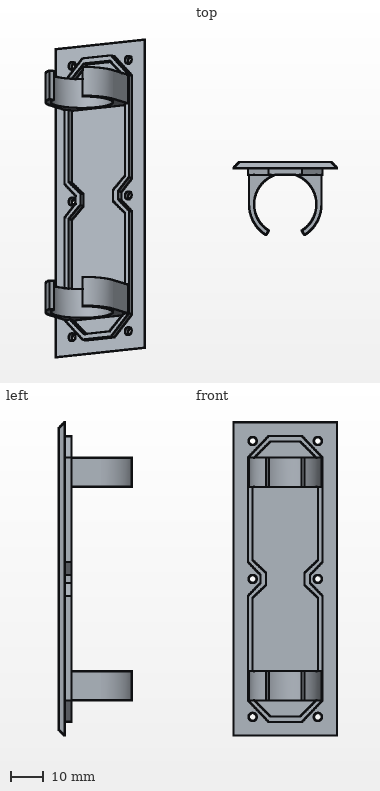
import cadquery as cq
import math

plate_width = 31.6
plate_height = 95.6
plate_thickness = 2.0
plate_edge_land = 0.2
plate_bevel = plate_thickness - plate_edge_land

hole_diameter = 2.4
hole_x = 9.9
hole_z = 42.1

total_depth = 22.4
rim_height = 2.0
rim_outer = dict(end_x=5.1, end_z=43.6, side_x=11.4, shoulder_z=37.0, waist_z=5.2, neck_x=7.6, neck_z=1.2)
rim_inner = dict(end_x=4.5, end_z=42.0, side_x=9.9, shoulder_z=36.5, waist_z=5.7, neck_x=5.8, neck_z=1.8)

clip_height = 8.9
clip_top_z = rim_outer["shoulder_z"]
clip_outer_radius = 11.1
clip_bore_radius = 9.5
clip_half_opening = math.radians(32)
clip_tip_y = plate_thickness - total_depth
clip_axis_y = clip_tip_y + clip_outer_radius * math.cos(clip_half_opening)


def make_plate():
    """Plate with a narrow straight edge, bevelled toward the back face."""
    return (
        cq.Workplane("XY")
        .box(plate_width, plate_thickness, plate_height)
        .translate((0, plate_thickness / 2, 0))
        .faces(">Y")
        .chamfer(plate_bevel)
    )


def rim_prism(end_x, end_z, side_x, shoulder_z, waist_z, neck_x, neck_z):
    """Solid waisted octagon standing on the plate's front face."""
    quarter = [(end_x, end_z), (side_x, shoulder_z), (side_x, waist_z), (neck_x, neck_z)]
    right_side = quarter + [(x, -z) for x, z in reversed(quarter)]
    left_side = [(-x, z) for x, z in reversed(right_side)]
    return cq.Workplane("XZ").polyline(right_side + left_side).close().extrude(rim_height)


def make_clip(bottom_z):
    """Square-backed ring open at the front, with radially cut tips."""
    barrel = cq.Workplane("XY").center(0, clip_axis_y).circle(clip_outer_radius).extrude(clip_height)
    back_depth = -clip_axis_y
    back = (
        cq.Workplane("XY")
        .center(0, clip_axis_y + back_depth / 2)
        .rect(2 * clip_outer_radius, back_depth)
        .extrude(clip_height)
    )
    bore = cq.Workplane("XY").center(0, clip_axis_y).circle(clip_bore_radius).extrude(clip_height)
    wedge_length = 2 * clip_outer_radius
    wedge_half_width = wedge_length * math.tan(clip_half_opening)
    opening = (
        cq.Workplane("XY")
        .center(0, clip_axis_y)
        .polyline([(0, 0), (-wedge_half_width, -wedge_length), (wedge_half_width, -wedge_length)])
        .close()
        .extrude(clip_height)
    )
    return barrel.union(back).cut(bore).cut(opening).translate((0, 0, bottom_z))


def make_screw_holes():
    """Drills passing through the whole plate."""
    centers = [(x, z) for x in (-hole_x, hole_x) for z in (-hole_z, 0, hole_z)]
    return cq.Workplane("XZ").pushPoints(centers).circle(hole_diameter / 2).extrude(-plate_thickness)


rim = rim_prism(**rim_outer).cut(rim_prism(**rim_inner))
result = make_plate().union(rim)
for clip_bottom_z in (clip_top_z - clip_height, -clip_top_z):
    result = result.union(make_clip(clip_bottom_z))
result = result.cut(make_screw_holes())